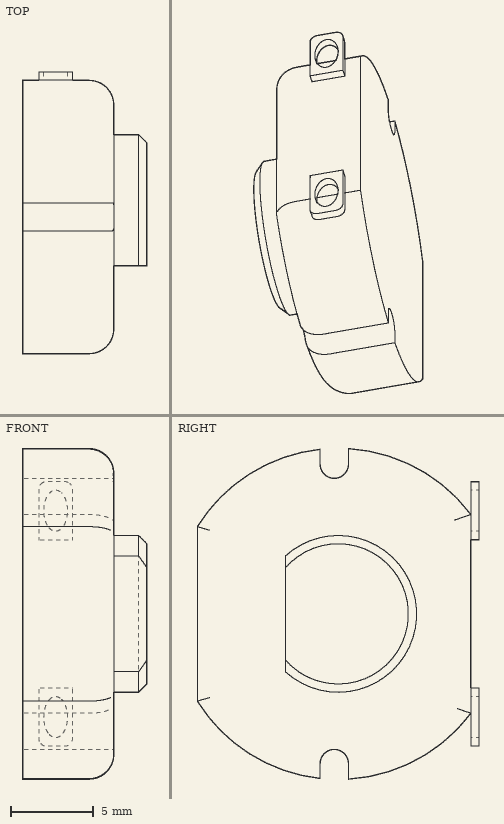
import cadquery as cq

housing_radius = 10.0
housing_depth = 5.51
rim_radius = 1.5
front_flat = 8.5
rear_flat = 8.0

notch_width = 1.7
notch_y = -0.24
notch_floor = 8.19

shaft_radius = 4.73
shaft_length = 2.0
shaft_chamfer = 0.5
shaft_flat = 3.2

tab_width = 2.04
tab_thickness = 0.5
tab_inner = 4.47
tab_outer = 7.99
tab_corner_radius = 0.48
tab_x = 2.0
hole_width = 1.44
hole_length = 2.48


def make_housing():
    """Rounded disc and rounded slab, intersected so that their rims meet in a mitre."""
    disc = cq.Workplane("YZ").circle(housing_radius).extrude(housing_depth)
    disc = disc.faces(">X").edges().fillet(rim_radius)
    slab = cq.Workplane("XY").box(
        housing_depth, front_flat + rear_flat, 2 * housing_radius, centered=(False, False, True)
    )
    slab = slab.translate((0, -front_flat, 0))
    slab = slab.faces(">X").edges("|Z").fillet(rim_radius)
    return disc.intersect(slab)


def make_notch(side):
    """Round-bottomed groove along X; side is +1 for the top, -1 for the bottom."""
    round_centre = side * (notch_floor + notch_width / 2)
    floor = cq.Workplane("YZ").center(notch_y, round_centre).circle(notch_width / 2)
    mouth = cq.Workplane("YZ").center(notch_y, round_centre + side * housing_radius / 2)
    mouth = mouth.rect(notch_width, housing_radius)
    return floor.extrude(housing_depth).union(mouth.extrude(housing_depth))


def make_shaft():
    stub = cq.Workplane("YZ").workplane(offset=housing_depth).circle(shaft_radius)
    stub = stub.extrude(shaft_length).faces(">X").edges().chamfer(shaft_chamfer)
    keep = cq.Workplane("XY").box(
        shaft_length, shaft_flat + shaft_radius, 2 * shaft_radius, centered=(False, False, True)
    )
    return stub.intersect(keep.translate((housing_depth, -shaft_flat, 0)))


def make_tab(side):
    """Plate with an elliptical hole; side is +1 for the upper tab, -1 for the lower."""
    plate = cq.Workplane("XY").box(tab_width, tab_thickness, tab_outer - tab_inner)
    plate = plate.edges("|Y and >Z").fillet(tab_corner_radius)
    hole = cq.Workplane("XZ").ellipse(hole_width / 2, hole_length / 2)
    tab = plate.cut(hole.extrude(tab_thickness, both=True))
    tab = tab.translate((tab_x, rear_flat + tab_thickness / 2, (tab_inner + tab_outer) / 2))
    return tab if side > 0 else tab.mirror("XY")


result = make_housing()
for side in (1, -1):
    result = result.cut(make_notch(side)).union(make_tab(side))
result = result.union(make_shaft())